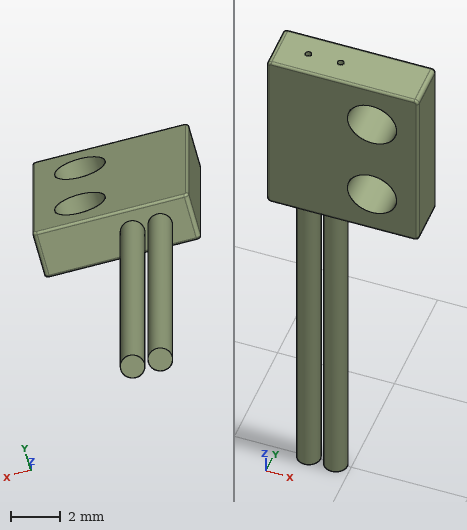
import cadquery as cq

body_width = 6.5
body_depth = 2.0
body_height = 8.0
end_edge_radius = 0.18
face_edge_radius = 0.105

hole_diameter = 2.1
hole_x = 4.5
hole_spacing = 4.0
hole_mid_z = body_height / 2

total_height = 23.1
lead_length = total_height - body_height
lead_diameter = 1.0
lead_embed = 0.23
lead_x_positions = (1.43, 2.59)

pinhole_diameter = 0.25
pinhole_depth = 0.23
pinhole_x_positions = (1.4, 2.8)

mid_y = body_depth / 2


def make_body():
    block = cq.Workplane("XY").box(body_width, body_depth, body_height, centered=False)
    rounded = block.edges("|Y").fillet(end_edge_radius)
    return rounded.faces("<Y or >Y").edges().fillet(face_edge_radius)


def make_mounting_hole(z):
    axis_start = cq.Vector(hole_x, 0, z)
    axis_direction = cq.Vector(0, 1, 0)
    cylinder = cq.Solid.makeCylinder(hole_diameter / 2, body_depth, axis_start, axis_direction)
    return cq.Workplane(cylinder)


def make_vertical_rod(x, bottom_z, diameter, length):
    return cq.Workplane("XY", origin=(x, mid_y, bottom_z)).circle(diameter / 2).extrude(length)


result = make_body()

for side in (-1, 1):
    result = result.cut(make_mounting_hole(hole_mid_z + side * hole_spacing / 2))

for x in pinhole_x_positions:
    pinhole = make_vertical_rod(x, body_height - pinhole_depth, pinhole_diameter, pinhole_depth)
    result = result.cut(pinhole)

for x in lead_x_positions:
    lead = make_vertical_rod(x, -lead_length, lead_diameter, lead_length + lead_embed)
    result = result.union(lead)